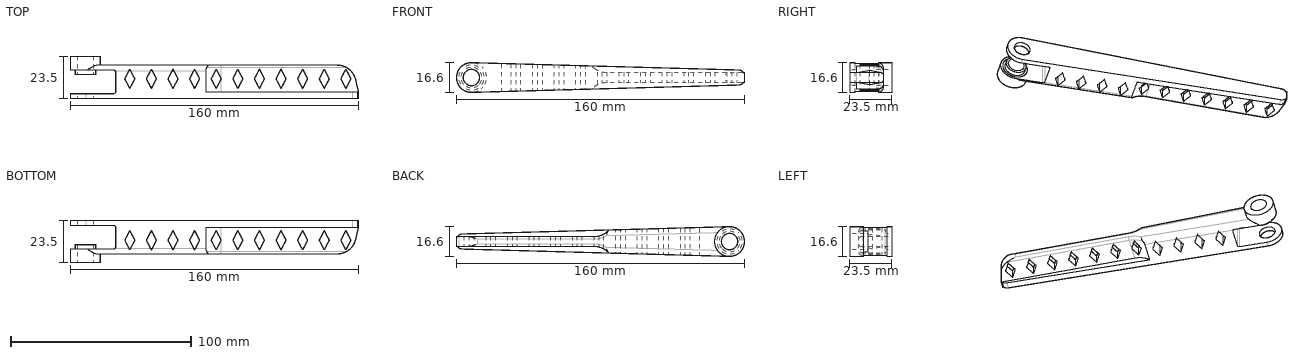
import math

import cadquery as cq


LENGTH = 160.0
EYE_RADIUS = 8.3
EYE_X = EYE_RADIUS
TIP_HALF_HEIGHT = 4.2
TIP_CORNER_RADIUS = 3.4

BODY_WIDTH = 18.7
BOSS_TOP_Y = 23.5
CHEEK_THICKNESS = 2.9
FORK_BACK_Y = BODY_WIDTH - CHEEK_THICKNESS
BACK_EDGE_RADIUS = 3.2

FORK_DEPTH = 25.1
FORK_CORNER_RADIUS = 1.1
BORE_RADIUS = 4.5
COLLAR_RADIUS = 5.8
COLLAR_LENGTH = 2.4
GROOVE_RADIUS = 7.0
GROOVE_DEPTH = 0.2
GROOVE_END_Y = FORK_BACK_Y + GROOVE_DEPTH

RECESS_START_X = 74.7
RAMP_LENGTH = 9.0
RAMP_RADIUS = 11.5
FLOOR_Z = 2.7
FRONT_WALL = 3.8
WEB_EDGE_RADIUS = 1.5
FLOOR_START_X = RECESS_START_X + RAMP_LENGTH

END_TILT = math.radians(13)
END_ROUND_RADIUS = 10.5

WINDOW_COUNT = 11
WINDOW_PITCH = 12.0
FIRST_WINDOW_X = 33.0
WINDOW_Y = 11.0
WINDOW_SIZE_X = 5.5
WINDOW_SIZE_Y = 10.5

TIP_DISTANCE = math.hypot(LENGTH - EYE_X, TIP_HALF_HEIGHT)
TANGENT_ANGLE = math.atan2(TIP_HALF_HEIGHT, LENGTH - EYE_X) + math.acos(EYE_RADIUS / TIP_DISTANCE)
TANGENT_X = EYE_X + EYE_RADIUS * math.cos(TANGENT_ANGLE)
TANGENT_Z = EYE_RADIUS * math.sin(TANGENT_ANGLE)


def taper_z(x):
    """Half height of the straight taper at x."""
    share = (x - TANGENT_X) / (LENGTH - TANGENT_X)
    return TANGENT_Z + share * (TIP_HALF_HEIGHT - TANGENT_Z)


def along_y(y):
    """Workplane at the given y with local axes X and Z; a negative extrusion goes toward +Y."""
    return cq.Workplane("XZ", origin=(0, y, 0))


def cylinder_at_eye(radius, y_start, y_end):
    return along_y(y_start).center(EYE_X, 0).circle(radius).extrude(y_start - y_end)


def tapered_bar(x_start, x_end, width):
    """Bar with straight tapered top and bottom, starting at Y = 0."""
    z_start = taper_z(x_start)
    z_end = taper_z(x_end)
    outline = [(x_start, -z_start), (x_end, -z_end), (x_end, z_end), (x_start, z_start)]
    return along_y(0).polyline(outline).close().extrude(-width)


def body_block(x_start, x_end):
    """Box across the whole body between two X positions."""
    block = cq.Workplane("XY").box(
        x_end - x_start, BODY_WIDTH, 2 * EYE_RADIUS, centered=(False, False, True)
    )
    return block.translate((x_start, 0, 0))


def front_wall():
    bar = tapered_bar(TANGENT_X, LENGTH, FRONT_WALL)
    return bar.edges("|Y and >X").fillet(TIP_CORNER_RADIUS)


def fork_body():
    """Full-height part of the arm, rounded along its back edges."""
    bar = tapered_bar(TANGENT_X, FLOOR_START_X, BODY_WIDTH)
    return bar.faces(">Y").edges("not |Z").fillet(BACK_EDGE_RADIUS)


def web_core():
    """Web behind the recesses, with the concave ramps that rise to full height."""
    end_angle = math.asin(RAMP_LENGTH / RAMP_RADIUS)
    ramp_z = FLOOR_Z + RAMP_RADIUS * (1 - math.cos(end_angle))
    middle_x = FLOOR_START_X - RAMP_RADIUS * math.sin(end_angle / 2)
    middle_z = FLOOR_Z + RAMP_RADIUS * (1 - math.cos(end_angle / 2))
    core = (
        along_y(0)
        .moveTo(RECESS_START_X, -ramp_z)
        .threePointArc((middle_x, -middle_z), (FLOOR_START_X, -FLOOR_Z))
        .lineTo(LENGTH, -FLOOR_Z)
        .lineTo(LENGTH, FLOOR_Z)
        .lineTo(FLOOR_START_X, FLOOR_Z)
        .threePointArc((middle_x, middle_z), (RECESS_START_X, ramp_z))
        .close()
        .extrude(-BODY_WIDTH)
    )
    return core.faces(">Y").edges("not |Z").fillet(WEB_EDGE_RADIUS)


def plan_limit():
    """Plan outline whose far back corner is leaned and rounded."""
    corner_x = LENGTH - (BODY_WIDTH - FRONT_WALL) * math.tan(END_TILT)
    tangent_length = END_ROUND_RADIUS * math.tan((math.pi / 2 - END_TILT) / 2)
    arc_start_x = corner_x - tangent_length
    center_y = BODY_WIDTH - END_ROUND_RADIUS
    middle_angle = (math.pi / 2 + END_TILT) / 2
    arc_middle = (
        arc_start_x + END_ROUND_RADIUS * math.cos(middle_angle),
        center_y + END_ROUND_RADIUS * math.sin(middle_angle),
    )
    arc_end = (
        corner_x + tangent_length * math.sin(END_TILT),
        BODY_WIDTH - tangent_length * math.cos(END_TILT),
    )
    return (
        cq.Workplane("XY")
        .moveTo(0, 0)
        .lineTo(LENGTH, 0)
        .lineTo(LENGTH, FRONT_WALL)
        .lineTo(*arc_end)
        .threePointArc(arc_middle, (arc_start_x, BODY_WIDTH))
        .lineTo(0, BODY_WIDTH)
        .close()
        .extrude(EYE_RADIUS, both=True)
    )


def fork_gap():
    gap = cq.Workplane("XY").box(
        FORK_DEPTH,
        FORK_BACK_Y - CHEEK_THICKNESS,
        2 * EYE_RADIUS,
        centered=(False, False, True),
    )
    return gap.translate((0, CHEEK_THICKNESS, 0)).edges("|Z and >X").fillet(FORK_CORNER_RADIUS)


def windows():
    half_x = WINDOW_SIZE_X / 2
    half_y = WINDOW_SIZE_Y / 2
    centers = [(FIRST_WINDOW_X + i * WINDOW_PITCH, WINDOW_Y) for i in range(WINDOW_COUNT)]
    diamond = (
        cq.Workplane("XY")
        .polyline([(-half_x, 0), (0, -half_y), (half_x, 0), (0, half_y)])
        .close()
        .extrude(EYE_RADIUS, both=True)
        .val()
    )
    return cq.Workplane("XY").pushPoints(centers).eachpoint(lambda place: diamond.moved(place))


def arm_blank():
    """Tapered arm without eyes: full height up to the ramps, only the web beyond them."""
    fork = fork_body()
    web = web_core()
    blank = fork.intersect(body_block(0, RECESS_START_X))
    blank = blank.union(fork.intersect(web))
    blank = blank.union(web.intersect(body_block(FLOOR_START_X, LENGTH)))
    return blank.union(front_wall()).intersect(plan_limit())


def add_eyes(arm):
    """Adds the plain front eye and the back eye with its boss, face groove and collar."""
    arm = arm.union(cylinder_at_eye(EYE_RADIUS, 0, CHEEK_THICKNESS))
    arm = arm.union(cylinder_at_eye(EYE_RADIUS, FORK_BACK_Y, BOSS_TOP_Y))
    arm = arm.cut(cylinder_at_eye(GROOVE_RADIUS, FORK_BACK_Y, GROOVE_END_Y))
    arm = arm.union(cylinder_at_eye(COLLAR_RADIUS, FORK_BACK_Y - COLLAR_LENGTH, GROOVE_END_Y))
    return arm.cut(cylinder_at_eye(BORE_RADIUS, 0, BOSS_TOP_Y))


result = add_eyes(arm_blank().cut(fork_gap())).cut(windows())